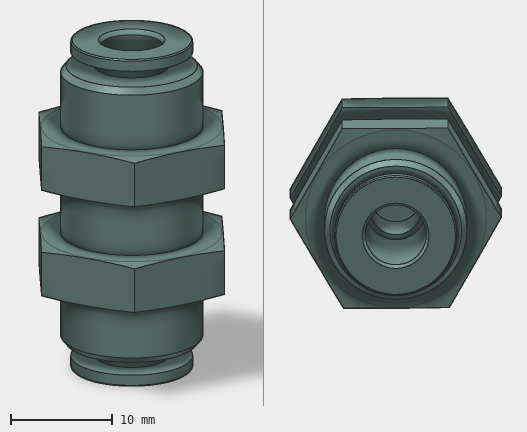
import cadquery as cq
import math

total_length = 34.0
thread_diameter = 14.0
thread_tip_diameter = 12.92
thread_chamfer_height = 0.65

collar_diameter = 12.0
collar_thickness = 1.2
collar_chamfer = 0.15
neck_diameter = 7.3
neck_length = 1.5

bore_diameter = 5.0
socket_diameter = 6.0
socket_depth = 13.6
mouth_diameter = 6.53
mouth_depth = 0.5

across_flats = 18.0
across_corners = across_flats / math.cos(math.radians(30))
nut_height = 5.0
nut_gap = 6.0
nut_face_diameter = 17.78
nut_corner_drop = 0.25

end_z = total_length / 2
collar_inner_z = end_z - collar_thickness
thread_end_z = collar_inner_z - neck_length
thread_shoulder_z = thread_end_z - thread_chamfer_height
socket_floor_z = end_z - socket_depth


def revolve_about_z(profile):
    """Turn a closed (radius, z) outline about the Z axis."""
    return cq.Workplane("XZ").polyline(profile).close().revolve(360, (0, 0), (0, 1))


def make_sleeve():
    """Hollow turned sleeve whose lower half mirrors the upper half."""
    upper_half = [
        (thread_diameter / 2, thread_shoulder_z),
        (thread_tip_diameter / 2, thread_end_z),
        (neck_diameter / 2, thread_end_z),
        (neck_diameter / 2, collar_inner_z),
        (collar_diameter / 2, collar_inner_z),
        (collar_diameter / 2, end_z - collar_chamfer),
        (collar_diameter / 2 - collar_chamfer, end_z),
        (mouth_diameter / 2, end_z),
        (socket_diameter / 2, end_z - mouth_depth),
        (socket_diameter / 2, socket_floor_z),
        (bore_diameter / 2, socket_floor_z),
    ]
    lower_half = [(radius, -z) for radius, z in reversed(upper_half)]
    return revolve_about_z(upper_half + lower_half)


def make_nut(center_z):
    """Hexagonal nut with flats facing X and both faces coned off at the corners."""
    half_height = nut_height / 2
    hexagon = (
        cq.Workplane("XY")
        .polygon(6, across_corners)
        .extrude(half_height, both=True)
        .rotate((0, 0, 0), (0, 0, 1), 90)
    )
    corner_z = half_height - nut_corner_drop
    cone_envelope = revolve_about_z([
        (thread_diameter / 2, -half_height),
        (nut_face_diameter / 2, -half_height),
        (across_corners / 2, -corner_z),
        (across_corners / 2, corner_z),
        (nut_face_diameter / 2, half_height),
        (thread_diameter / 2, half_height),
    ])
    return hexagon.intersect(cone_envelope).translate((0, 0, center_z))


sleeve = make_sleeve()
nut_center_z = (nut_gap + nut_height) / 2
nuts = [make_nut(side * nut_center_z) for side in (1, -1)]

result = cq.Compound.makeCompound([sleeve.val(), *[nut.val() for nut in nuts]])